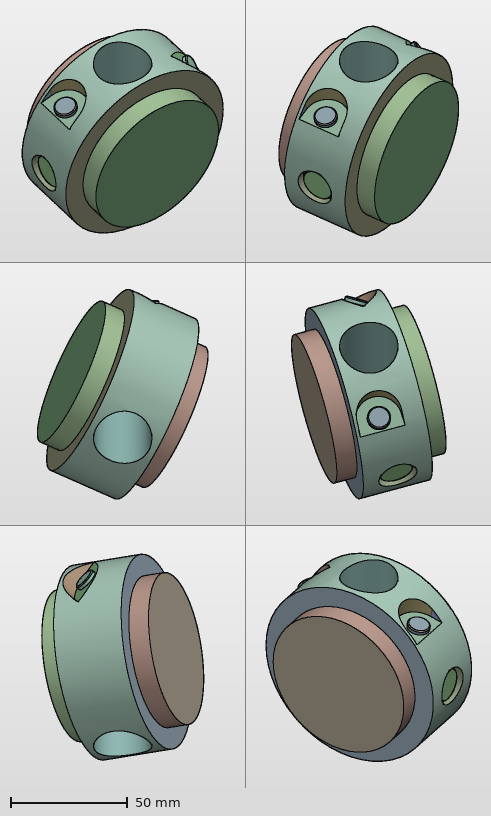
import cadquery as cq
import math

flange_diameter = 84.6
flange_width = 31.0
hub_diameter = 66.0
overall_width = 49.0
cross_bore_diameter = 24.95

button_diameter = 10.0
button_height = 2.0
button_chamfer = 0.5

floor_offset = 4.0
cut_height = 50.8

front_floor_radius = 38.8
front_floor_angle = 45.0
front_floor_tilt = 33.0
front_pocket_width = 2 * button_diameter

rear_floor_radius = 39.3
rear_floor_angle = 35.0
rear_floor_tilt = 30.0
rear_pocket_radius = 24.0
rear_pocket_shift = 17.0

recess_diameter = 17.0
recess_floor = 38.0
large_button_diameter = 15.1
large_button_chamfer = 0.4


def disc(diameter, width):
    return cq.Workplane("YZ").circle(diameter / 2).extrude(width / 2, both=True)


def button(plane, diameter, chamfer):
    pin = cq.Workplane(plane).circle(diameter / 2).extrude(button_height)
    top_edge = pin.faces(cq.selectors.DirectionMinMaxSelector(plane.zDir, True))
    return top_edge.chamfer(chamfer)


def front_pocket(plane):
    """Half-round space above the floor, open towards the plane's local x."""
    half_width = front_pocket_width / 2
    return (
        cq.Workplane(plane)
        .moveTo(0, half_width)
        .threePointArc((-half_width, 0), (0, -half_width))
        .lineTo(cut_height, -half_width)
        .lineTo(cut_height, half_width)
        .close()
        .extrude(cut_height)
    )


def rear_pocket(plane):
    """Round space above the floor, centred along the plane's local x."""
    return (
        cq.Workplane(plane)
        .center(rear_pocket_shift, 0)
        .circle(rear_pocket_radius)
        .extrude(cut_height)
    )


def front_floor():
    """Floor tilted about X, rising away from the -Y side."""
    angle = math.radians(front_floor_angle)
    lean = math.radians(front_floor_angle + front_floor_tilt)
    origin = (
        -floor_offset,
        -front_floor_radius * math.cos(angle),
        front_floor_radius * math.sin(angle),
    )
    normal = (0, -math.cos(lean), math.sin(lean))
    open_direction = (0, -math.sin(lean), -math.cos(lean))
    return cq.Plane(origin, open_direction, normal)


def rear_floor():
    """Floor tilted towards +X, rising towards -X."""
    angle = math.radians(rear_floor_angle)
    tilt = math.radians(rear_floor_tilt)
    axial = cq.Vector(1, 0, 0)
    radial = cq.Vector(0, math.cos(angle), math.sin(angle))
    origin = axial * floor_offset + radial * rear_floor_radius
    normal = axial * math.sin(tilt) + radial * math.cos(tilt)
    uphill = radial * math.sin(tilt) - axial * math.cos(tilt)
    return cq.Plane(origin, uphill, normal)


result = disc(flange_diameter, flange_width).union(disc(hub_diameter, overall_width))
cross_bore = cq.Workplane("XY").circle(cross_bore_diameter / 2).extrude(flange_diameter, both=True)
result = result.cut(cross_bore)

for floor, pocket in ((front_floor(), front_pocket), (rear_floor(), rear_pocket)):
    result = result.cut(pocket(floor))
    result = result.union(button(floor, button_diameter, button_chamfer))

recess_plane = cq.Plane((0, -recess_floor, 0), (1, 0, 0), (0, -1, 0))
recess = cq.Workplane(recess_plane).circle(recess_diameter / 2).extrude(flange_diameter)
result = result.cut(recess)
result = result.union(button(recess_plane, large_button_diameter, large_button_chamfer))